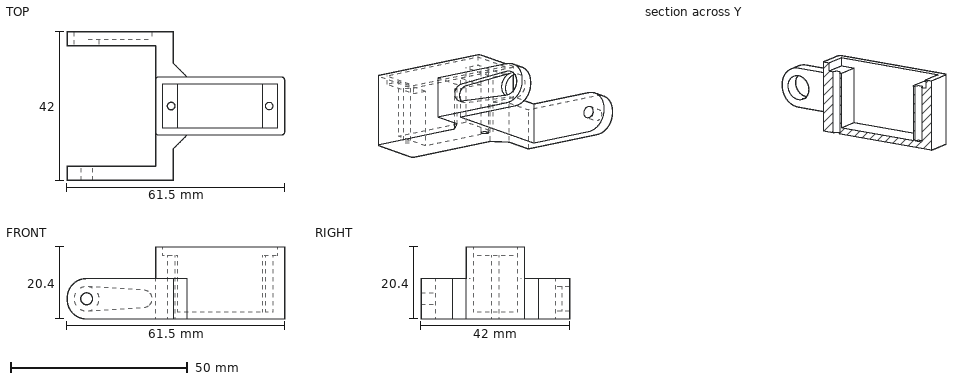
import cadquery as cq
import math

OVERALL_LENGTH = 61.5
FORK_WIDTH = 42.0
BOX_HEIGHT = 20.4
WALL = 2.0

POCKET_LENGTH = 32.5
POCKET_WIDTH = 12.5
CORNER_RADIUS = 1.0
LEDGE_DEPTH = 2.4
WELL_LENGTH = 24.0
SCREW_DIAMETER = 2.1
SCREW_SPACING = 27.7

ARM_HEIGHT = 11.5
ARM_THICKNESS = 4.0
CROSSBAR_THICKNESS = 5.0
GUSSET_LEG = 3.85
TIP_RADIUS = 5.5
PIVOT_FROM_TIP = 5.5
PIVOT_DIAMETER = 3.3
HORN_DIAMETER = 7.0
HORN_SLOT_DEPTH = 2.2
HORN_REACH = 16.0
HORN_TIP_DIAMETER = 5.0

BOX_LENGTH = POCKET_LENGTH + 2 * WALL
BOX_WIDTH = POCKET_WIDTH + 2 * WALL
BOX_START = OVERALL_LENGTH - BOX_LENGTH
BOX_CENTER = BOX_START + BOX_LENGTH / 2
LEDGE_Z = BOX_HEIGHT - LEDGE_DEPTH
HALF_FORK = FORK_WIDTH / 2


def centered_block(length, width, x_center, z_bottom, z_top):
    """Block centered on y = 0 between two heights."""
    return (
        cq.Workplane("XY", origin=(x_center, 0, z_bottom))
        .rect(length, width)
        .extrude(z_top - z_bottom)
    )


def make_fork():
    """U-shaped fork with rounded arm tips and gussets towards the box."""
    crossbar_back = BOX_START + CROSSBAR_THICKNESS
    inner_y = HALF_FORK - ARM_THICKNESS
    box_side = BOX_WIDTH / 2
    upper_half = [
        (BOX_START, 0),
        (BOX_START, inner_y),
        (0, inner_y),
        (0, HALF_FORK),
        (crossbar_back, HALF_FORK),
        (crossbar_back, box_side + GUSSET_LEG),
        (crossbar_back + GUSSET_LEG, box_side),
        (crossbar_back + GUSSET_LEG, 0),
    ]
    half = cq.Workplane("XY").polyline(upper_half).close().extrude(ARM_HEIGHT)
    fork = half.union(half.mirror("XZ"))
    return fork.faces("<X").edges("|Y").fillet(TIP_RADIUS)


def make_box():
    """Outer block of the servo box with rounded upright corners."""
    block = centered_block(BOX_LENGTH, BOX_WIDTH, BOX_CENTER, 0, BOX_HEIGHT)
    return block.edges("|Z").fillet(CORNER_RADIUS)


def cut_pocket(body):
    """Shallow recess down to the ledges, then the deep well down to the floor."""
    recess = centered_block(POCKET_LENGTH, POCKET_WIDTH, BOX_CENTER, LEDGE_Z, BOX_HEIGHT)
    well = centered_block(WELL_LENGTH, POCKET_WIDTH, BOX_CENTER, WALL, LEDGE_Z)
    return body.cut(recess).cut(well)


def cut_screw_holes(body):
    """Ledge holes: the fork-side one runs through, the far one stops at floor level."""
    for side, z_bottom in ((-1, 0), (1, WALL)):
        hole = (
            cq.Workplane("XY", origin=(BOX_CENTER + side * SCREW_SPACING / 2, 0, z_bottom))
            .circle(SCREW_DIAMETER / 2)
            .extrude(LEDGE_Z - z_bottom)
        )
        body = body.cut(hole)
    return body


def arm_sketch_plane(outer_y, inward):
    """Workplane on an arm's outer face, centered on the pivot and facing inwards."""
    plane = cq.Plane(
        origin=(PIVOT_FROM_TIP, outer_y, ARM_HEIGHT / 2),
        xDir=(1, 0, 0),
        normal=(0, inward, 0),
    )
    return cq.Workplane(plane)


def cut_pivot_hole(body):
    """Small pivot hole through the -Y arm."""
    hole = arm_sketch_plane(-HALF_FORK, 1).circle(PIVOT_DIAMETER / 2).extrude(ARM_THICKNESS)
    return body.cut(hole)


def horn_slot():
    """Tapered slot: hub and tip circles joined by their common tangent lines."""
    hub_radius = HORN_DIAMETER / 2
    tip_radius = HORN_TIP_DIAMETER / 2
    lean = (hub_radius - tip_radius) / HORN_REACH
    rise = math.sqrt(1 - lean**2)
    return (
        arm_sketch_plane(HALF_FORK, -1)
        .moveTo(hub_radius * lean, hub_radius * rise)
        .lineTo(HORN_REACH + tip_radius * lean, tip_radius * rise)
        .threePointArc(
            (HORN_REACH + tip_radius, 0),
            (HORN_REACH + tip_radius * lean, -tip_radius * rise),
        )
        .lineTo(hub_radius * lean, -hub_radius * rise)
        .threePointArc((-hub_radius, 0), (hub_radius * lean, hub_radius * rise))
        .close()
        .extrude(HORN_SLOT_DEPTH)
    )


def cut_horn_seat(body):
    """Hub hole through the +Y arm and the tapered servo horn slot in its outer face."""
    hub = arm_sketch_plane(HALF_FORK, -1).circle(HORN_DIAMETER / 2).extrude(ARM_THICKNESS)
    return body.cut(hub).cut(horn_slot())


body = make_fork().union(make_box())
body = cut_pocket(body)
body = cut_screw_holes(body)
body = cut_pivot_hole(body)
result = cut_horn_seat(body)